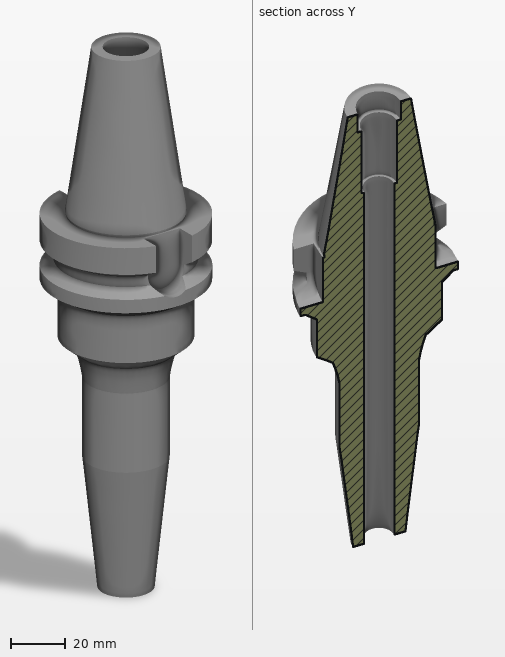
import cadquery as cq
import math


gauge_diameter = 44.45
taper_length = 65.4
taper_ratio = 7 / 24
taper_tip_diameter = gauge_diameter - taper_length * taper_ratio
neck_diameter = 44.0

flange_diameter = 63.0
flange_top = -1.0
flange_bottom = -27.0
groove_center = -16.65
groove_floor_diameter = 53.0
groove_floor_width = 4.2
groove_flank_angle = 30.0
groove_depth = (flange_diameter - groove_floor_diameter) / 2
groove_half_floor = groove_floor_width / 2
groove_half_mouth = groove_half_floor + groove_depth * math.tan(math.radians(groove_flank_angle))

collar_diameter = 50.0
flange_chamfer_height = 4.0
flange_chamfer_diameter = 59.0
collar_top = flange_bottom - flange_chamfer_height
collar_bottom = -49.8
collar_chamfer_height = 5.2
blend_top = collar_bottom - collar_chamfer_height

shank_diameter = 32.0
blend_top_diameter = 37.2
blend_height = 11.0
blend_radius = 60.0
blend_bottom = blend_top - blend_height
nose_tip_diameter = 21.0
nose_half_angle = 6.0
nose_end = -150.0
nose_length = (shank_diameter - nose_tip_diameter) / 2 / math.tan(math.radians(nose_half_angle))
nose_top = nose_end + nose_length

pilot_bore_diameter = 17.0
pilot_bore_depth = 9.0
thread_core_diameter = 14.0
thread_core_depth = 40.0
through_bore_diameter = 12.0

slot_width = 16.1
slot_floor_offset = 22.5
slot_bottom = -23.05


def concave_arc_middle(upper, lower, radius):
    """Middle point of the arc between two profile points that bulges toward the axis."""
    chord = upper - lower
    sagitta = radius - math.sqrt(radius**2 - (chord.Length / 2) ** 2)
    toward_axis = cq.Vector(-chord.y, chord.x).normalized()
    return (upper + lower) * 0.5 + toward_axis * sagitta


def turned_body():
    blend_start = cq.Vector(blend_top_diameter / 2, blend_top)
    blend_end = cq.Vector(shank_diameter / 2, blend_bottom)
    blend_middle = concave_arc_middle(blend_start, blend_end, blend_radius)
    half_profile = (
        cq.Workplane("YZ")
        .moveTo(0, taper_length)
        .lineTo(taper_tip_diameter / 2, taper_length)
        .lineTo(gauge_diameter / 2, 0)
        .lineTo(neck_diameter / 2, 0)
        .lineTo(neck_diameter / 2, flange_top)
        .lineTo(flange_diameter / 2, flange_top)
        .lineTo(flange_diameter / 2, groove_center + groove_half_mouth)
        .lineTo(groove_floor_diameter / 2, groove_center + groove_half_floor)
        .lineTo(groove_floor_diameter / 2, groove_center - groove_half_floor)
        .lineTo(flange_diameter / 2, groove_center - groove_half_mouth)
        .lineTo(flange_diameter / 2, flange_bottom)
        .lineTo(flange_chamfer_diameter / 2, flange_bottom)
        .lineTo(collar_diameter / 2, collar_top)
        .lineTo(collar_diameter / 2, collar_bottom)
        .lineTo(blend_start.x, blend_start.y)
        .threePointArc((blend_middle.x, blend_middle.y), (blend_end.x, blend_end.y))
        .lineTo(shank_diameter / 2, nose_top)
        .lineTo(nose_tip_diameter / 2, nose_end)
        .lineTo(0, nose_end)
        .close()
    )
    return half_profile.revolve(360, (0, 0, 0), (0, 1, 0))


def bore_from_top(diameter, depth):
    return (
        cq.Workplane("XY", origin=(0, 0, taper_length))
        .circle(diameter / 2)
        .extrude(-depth)
    )


def stepped_bore():
    pilot = bore_from_top(pilot_bore_diameter, pilot_bore_depth)
    thread_core = bore_from_top(thread_core_diameter, thread_core_depth)
    through_bore = bore_from_top(through_bore_diameter, taper_length - nose_end)
    return pilot.union(thread_core).union(through_bore)


def drive_slot(side):
    """Slot with a round lower end and a flat floor; side is -1 or +1 along X."""
    half_width = slot_width / 2
    arc_center = slot_bottom + half_width
    return (
        cq.Workplane("YZ", origin=(side * slot_floor_offset, 0, 0))
        .moveTo(-half_width, flange_top)
        .lineTo(-half_width, arc_center)
        .threePointArc((0, slot_bottom), (half_width, arc_center))
        .lineTo(half_width, flange_top)
        .close()
        .extrude(side * (flange_diameter / 2))
    )


result = turned_body().cut(stepped_bore())
for side in (-1, 1):
    result = result.cut(drive_slot(side))